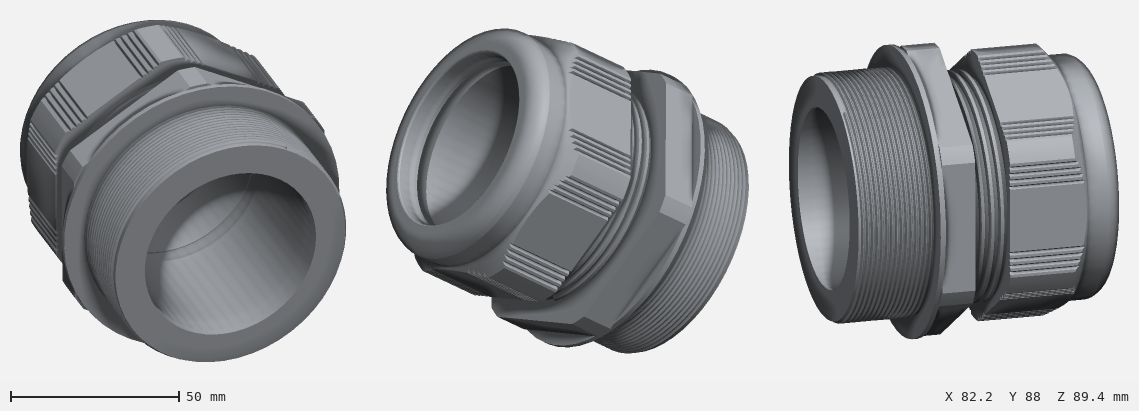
import cadquery as cq
import math

TILT = 0.4
OVERALL_LENGTH = 82.2

CAP_END = 35.5
CAP_COLLAR_DIAMETER = 73.5
CAP_COLLAR_END = 10.9
CAP_FACE_DIAMETER = 61.4
CAP_NOSE_LENGTH = 4.6
CAP_NOSE_RADIUS = 6.0
CAP_FLATS = 75.0
CAP_CORNER_DIAMETER = 82.95
CAP_CONE_LENGTH = 4.4

LIP_FACE_DIAMETER = 56.2
LIP_EDGE_DIAMETER = 55.6
LIP_EDGE_DEPTH = 0.2
LIP_ENTRY_DIAMETER = 55.2
LIP_ENTRY_START = 0.6
LIP_ENTRY_END = 4.2
LIP_TAPER_END = 6.0
LIP_END = 7.15

GROOVES_PER_SIDE = 4
GROOVE_PITCH = 2.0
FIRST_GROOVE = 10.3
GROOVE_DEPTH = 1.0
GROOVE_ANGLE = 60.0

SEAL_START = 10.7
SEAL_END = 31.3
SEAL_DIAMETER = 60.7

BORE_DIAMETER = 54.7
RELIEF_DIAMETER = 55.2
RELIEF_END = 36.7
HEX_START = 47.0
HEX_END = 57.3
HEX_FLATS = 80.0
HEX_CORNER_DIAMETER = 89.4

SHANK_DIAMETER = 66.7
SHANK_CREST_DIAMETER = 69.8
SHANK_PITCH = 3.0
SHANK_CREST_WIDTH = 1.0
SHANK_ROOT_WIDTH = 1.7
SHANK_THREAD_END = 45.4
SHANK_THREAD_END_ANGLE = 195.0
SHANK_TURNS = 9.0

MOUNT_DIAMETER = 73.5
MOUNT_CREST_DIAMETER = 75.0
MOUNT_PITCH = 1.5
MOUNT_CREST_WIDTH = 0.2
MOUNT_ROOT_WIDTH = 1.1
MOUNT_THREAD_END = 81.2
MOUNT_THREAD_END_ANGLE = 330.0
MOUNT_TURNS = 15.2

THREAD_SINK = 0.2

WASHER_DIAMETER = 88.0
WASHER_THICKNESS = 1.6


def cylinder(diameter, start, end):
    return cq.Workplane("XY", origin=(0, 0, start)).circle(diameter / 2).extrude(end - start)


def revolved(outline):
    """Turned solid from (radius, axial place) points."""
    return cq.Workplane("XZ").polyline(outline).close().revolve(360, (0, 0, 0), (0, 1, 0))


def rounded_hexagon(flats, corner_diameter, start, end):
    """Hexagonal prism with its corners turned down to a diameter."""
    point_diameter = flats / math.cos(math.radians(30))
    prism = cq.Workplane("XY", origin=(0, 0, start)).polygon(6, point_diameter).extrude(end - start)
    return prism.intersect(cylinder(corner_diameter, start, end))


def thread(root_diameter, crest_diameter, pitch, crest_width, root_width, end, end_angle, turns):
    """Right-hand helical ridge whose foot is sunk a little into the cylinder below it."""
    root = root_diameter / 2
    crest = crest_diameter / 2
    foot = root - THREAD_SINK
    foot_width = root_width + (root_width - crest_width) * THREAD_SINK / (crest - root)
    length = turns * pitch
    helix = cq.Wire.makeHelix(pitch, length, root)
    tooth = (
        cq.Workplane("XZ")
        .polyline([
            (foot, -foot_width / 2),
            (crest, -crest_width / 2),
            (crest, crest_width / 2),
            (foot, foot_width / 2),
        ])
        .close()
    )
    ridge = tooth.sweep(cq.Workplane(helix), isFrenet=True)
    start_angle = end_angle - 360 * turns
    return ridge.rotate((0, 0, 0), (0, 0, 1), start_angle).translate((0, 0, end - length))


def cut_grooves(cap):
    """V grooves along the cap nut, in two mirrored groups on each flat."""
    half_width = GROOVE_DEPTH * math.tan(math.radians(GROOVE_ANGLE / 2))
    face = CAP_FLATS / 2
    places = [FIRST_GROOVE + i * GROOVE_PITCH for i in range(GROOVES_PER_SIDE)]
    cutters = []
    for place in places + [-p for p in places]:
        groove = (
            cq.Workplane("XY")
            .polyline([(place - half_width, face), (place + half_width, face), (place, face - GROOVE_DEPTH)])
            .close()
            .extrude(CAP_END)
        )
        for side in range(6):
            cutters.append(groove.rotate((0, 0, 0), (0, 0, 1), 60 * side).val())
    return cap.newObject([cap.val().cut(*cutters)])


def lip_hole():
    """Hole through the cap lip: broken edge, straight entry, taper, then the common bore."""
    entry_radius = LIP_ENTRY_DIAMETER / 2
    bore_radius = BORE_DIAMETER / 2
    return revolved([
        (0, 0),
        (LIP_FACE_DIAMETER / 2, 0),
        (LIP_EDGE_DIAMETER / 2, LIP_EDGE_DEPTH),
        (entry_radius, LIP_ENTRY_START),
        (entry_radius, LIP_ENTRY_END),
        (bore_radius, LIP_TAPER_END),
        (bore_radius, LIP_END),
        (0, LIP_END),
    ])


def make_cap():
    collar_radius = CAP_COLLAR_DIAMETER / 2
    collar = (
        cq.Workplane("XZ")
        .moveTo(0, 0)
        .lineTo(CAP_FACE_DIAMETER / 2, 0)
        .radiusArc((collar_radius, CAP_NOSE_LENGTH), -CAP_NOSE_RADIUS)
        .lineTo(collar_radius, CAP_COLLAR_END)
        .lineTo(0, CAP_COLLAR_END)
        .close()
        .revolve(360, (0, 0, 0), (0, 1, 0))
    )
    cone_top = CAP_CORNER_DIAMETER / 2
    turned = revolved([
        (0, CAP_COLLAR_END),
        (collar_radius, CAP_COLLAR_END),
        (cone_top, CAP_COLLAR_END + CAP_CONE_LENGTH),
        (cone_top, CAP_END),
        (0, CAP_END),
    ])
    hexagon = rounded_hexagon(CAP_FLATS, CAP_CORNER_DIAMETER, CAP_COLLAR_END, CAP_END)
    cap = cut_grooves(hexagon.intersect(turned)).union(collar)
    cap = cap.cut(lip_hole())
    return cap.cut(cylinder(SHANK_CREST_DIAMETER, LIP_END, CAP_END))


def make_seal():
    seal = cylinder(SEAL_DIAMETER, SEAL_START, SEAL_END)
    return seal.cut(cylinder(BORE_DIAMETER, SEAL_START, SEAL_END))


def make_body():
    shank = cylinder(SHANK_DIAMETER, SEAL_START, HEX_START)
    hexagon = rounded_hexagon(HEX_FLATS, HEX_CORNER_DIAMETER, HEX_START, HEX_END)
    mount = cylinder(MOUNT_DIAMETER, HEX_END, OVERALL_LENGTH)
    body = shank.union(hexagon).union(mount)
    body = body.cut(cylinder(SEAL_DIAMETER, SEAL_START, SEAL_END))
    body = body.cut(cylinder(RELIEF_DIAMETER, SEAL_END, RELIEF_END))
    body = body.cut(cylinder(BORE_DIAMETER, RELIEF_END, OVERALL_LENGTH))
    body = body.union(thread(
        SHANK_DIAMETER, SHANK_CREST_DIAMETER, SHANK_PITCH, SHANK_CREST_WIDTH, SHANK_ROOT_WIDTH,
        SHANK_THREAD_END, SHANK_THREAD_END_ANGLE, SHANK_TURNS,
    ))
    return body.union(thread(
        MOUNT_DIAMETER, MOUNT_CREST_DIAMETER, MOUNT_PITCH, MOUNT_CREST_WIDTH, MOUNT_ROOT_WIDTH,
        MOUNT_THREAD_END, MOUNT_THREAD_END_ANGLE, MOUNT_TURNS,
    ))


def make_washer():
    washer_end = HEX_END + WASHER_THICKNESS
    ring = cylinder(WASHER_DIAMETER, HEX_END, washer_end)
    return ring.cut(cylinder(MOUNT_CREST_DIAMETER, HEX_END, washer_end))


tilt = math.radians(TILT)
gland_axis = cq.Plane(
    origin=(0, 0, 0), xDir=(0, -math.sin(tilt), math.cos(tilt)), normal=(1, 0, 0)
).location

cap = make_cap()
seal = make_seal()
body = make_body()
washer = make_washer()

result = cq.Compound.makeCompound([
    cap.solids().val().moved(gland_axis),
    seal.solids().val().moved(gland_axis),
    body.solids().val().moved(gland_axis),
    washer.solids().val().moved(gland_axis),
])